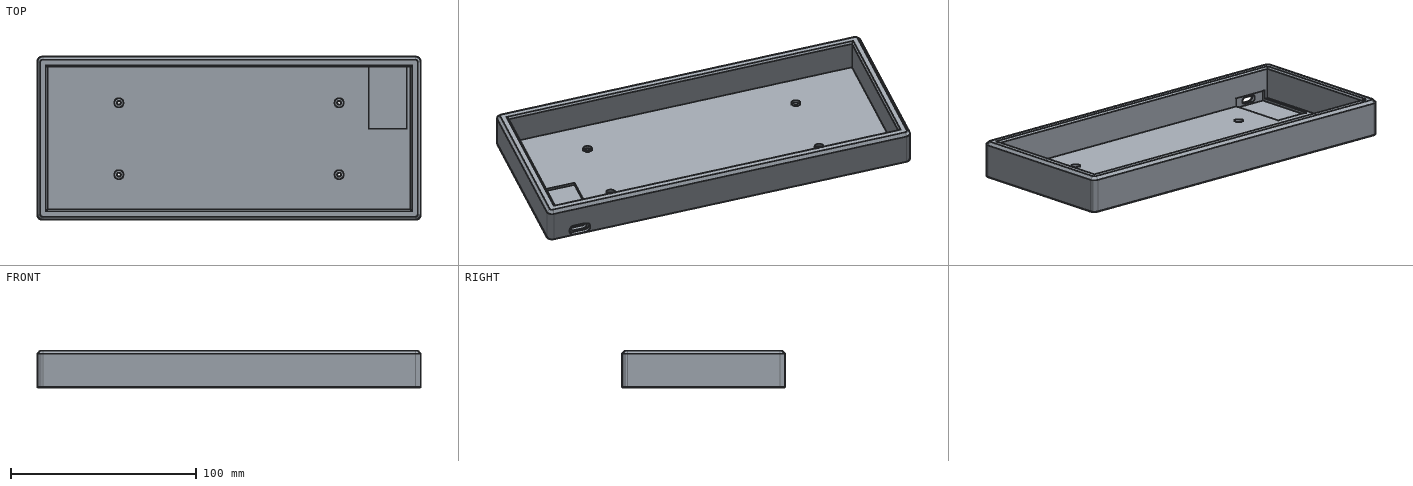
import cadquery as cq

length = 207.4
width = 88.35
height = 20.0
corner_radius = 3.0
top_chamfer = 1.7
bottom_chamfer = 0.5

wall = 5.7
floor_thickness = 2.5
mouth_chamfer = 1.05
cavity_length = length - 2 * wall
cavity_width = width - 2 * wall
cavity_back = cavity_width / 2

screw_spacing_x = 119.0
screw_spacing_y = 38.8
screw_center_y = -0.3
screw_diameter = 2.0
counterbore_diameter = 5.0
counterbore_depth = 1.8

pocket_left = 75.4
pocket_right = 96.05
pocket_front = 5.0
pocket_depth = 1.5
pocket_undercut = 1.5
pocket_height = 6.1
pocket_length = pocket_right - pocket_left
pocket_bottom = floor_thickness - pocket_depth

slot_length = 9.0
slot_height = 3.5
slot_center_z = 3.8
plug_length = 12.0
plug_height = 6.0
plug_depth = 2.0


def make_body():
    """Solid block with rounded upright corners and bevelled top and bottom edges."""
    block = cq.Workplane("XY").box(length, width, height, centered=(True, True, False))
    block = block.edges("|Z").fillet(corner_radius)
    block = block.faces(">Z").edges().chamfer(top_chamfer)
    return block.faces("<Z").edges().chamfer(bottom_chamfer)


def make_cavity():
    """Rectangular tray interior with a bevel widening its mouth."""
    depth = height - floor_thickness
    cavity = (
        cq.Workplane("XY")
        .workplane(offset=floor_thickness)
        .rect(cavity_length, cavity_width)
        .extrude(depth)
    )
    mouth = (
        cq.Workplane("XY")
        .workplane(offset=height - mouth_chamfer)
        .rect(cavity_length, cavity_width)
        .workplane(offset=mouth_chamfer)
        .rect(cavity_length + 2 * mouth_chamfer, cavity_width + 2 * mouth_chamfer)
        .loft(ruled=True)
    )
    return cavity.union(mouth)


def make_pocket():
    """Controller pocket, reaching under the back wall."""
    pocket_width = cavity_back + pocket_undercut - pocket_front
    return (
        cq.Workplane("XY")
        .box(pocket_length, pocket_width, pocket_height, centered=False)
        .translate((pocket_left, pocket_front, pocket_bottom))
    )


def make_back_slot(opening_length, opening_height, depth):
    """Round-ended opening cut into the back face, in line with the pocket."""
    pocket_center_x = (pocket_left + pocket_right) / 2
    return (
        cq.Workplane("XZ", origin=(pocket_center_x, width / 2, slot_center_z))
        .slot2D(opening_length, opening_height)
        .extrude(depth)
    )


def cut_screw_holes(body):
    """Four counterbored holes, counterbores opening into the tray."""
    return (
        body.copyWorkplane(cq.Workplane("XY", origin=(0, screw_center_y, floor_thickness)))
        .rarray(screw_spacing_x, screw_spacing_y, 2, 2)
        .cboreHole(screw_diameter, counterbore_diameter, counterbore_depth, floor_thickness)
    )


result = make_body().cut(make_cavity()).cut(make_pocket())
result = result.cut(make_back_slot(slot_length, slot_height, wall))
result = result.cut(make_back_slot(plug_length, plug_height, plug_depth))
result = cut_screw_holes(result)